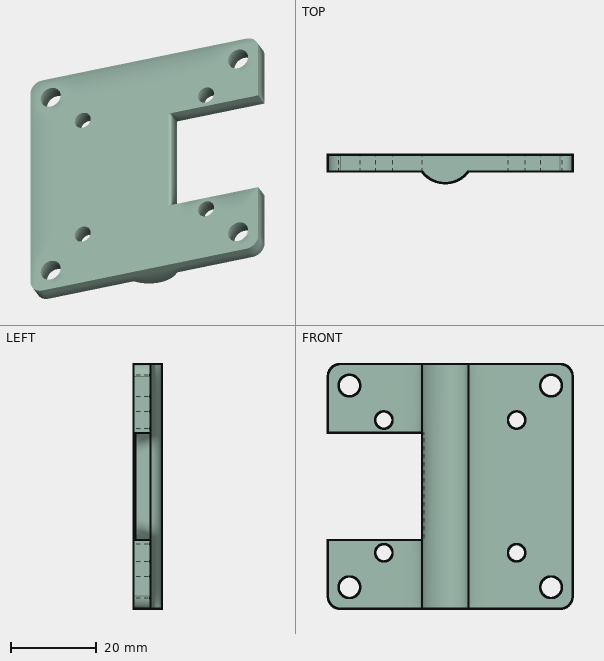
import cadquery as cq

plate_size = 57.25
plate_thickness = 4.0
corner_radius = 3.0

barrel_radius = 6.73
barrel_x = -1.2
barrel_half_width = (barrel_radius**2 - plate_thickness**2) ** 0.5

notch_height = 25.0
notch_end_x = barrel_x - barrel_half_width
notch_depth = notch_end_x + plate_size / 2
notch_center_x = notch_end_x - notch_depth / 2
bevel_size = 0.5
bevel_angle = 45

corner_hole_diameter = 5.0
corner_hole_spacing = 47.1
inner_hole_diameter = 4.0
inner_hole_spacing = 31.0


def back_plane():
    """XZ sketch plane on the back face; extrusion goes towards -Y."""
    return cq.Workplane("XZ")


def make_plate():
    plate = back_plane().rect(plate_size, plate_size).extrude(plate_thickness)
    return plate.edges("|Y").fillet(corner_radius)


def make_barrel():
    """Half cylinder running the full height of the plate."""
    return (
        cq.Workplane("XY", origin=(barrel_x, 0, -plate_size / 2))
        .moveTo(-barrel_radius, 0)
        .threePointArc((0, -barrel_radius), (barrel_radius, 0))
        .close()
        .extrude(plate_size)
    )


def make_notch():
    """Rectangular cutter from the -X side of the plate to the edge of the barrel."""
    return (
        back_plane()
        .center(notch_center_x, 0)
        .rect(notch_depth, notch_height)
        .extrude(plate_thickness)
    )


def make_end_bevel():
    """Cutter bevelling the back edge of the notch end wall; its own ends slope at the same angle."""
    return (
        back_plane()
        .center(notch_center_x + bevel_size, 0)
        .rect(notch_depth, notch_height)
        .extrude(bevel_size, taper=bevel_angle)
    )


def make_holes(diameter, spacing):
    return (
        back_plane()
        .rarray(spacing, spacing, 2, 2)
        .circle(diameter / 2)
        .extrude(plate_thickness)
    )


result = (
    make_plate()
    .union(make_barrel())
    .cut(make_notch())
    .cut(make_end_bevel())
    .cut(make_holes(corner_hole_diameter, corner_hole_spacing))
    .cut(make_holes(inner_hole_diameter, inner_hole_spacing))
)